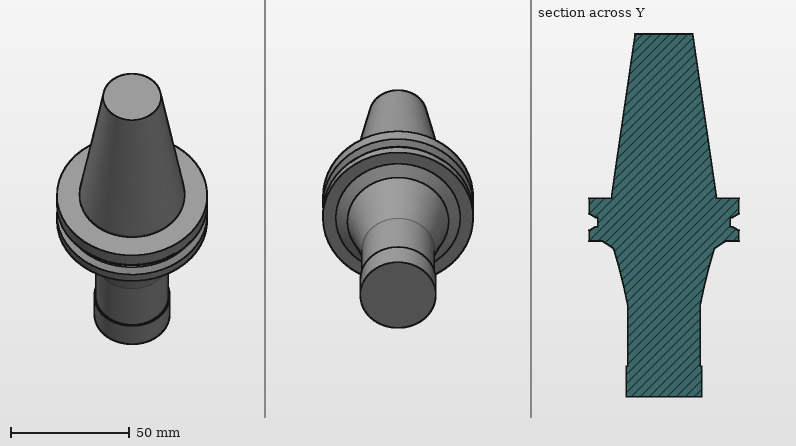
import cadquery as cq
import math


gauge_dia = 44.45
taper_length = 68.4
taper_ratio = 7 / 24
taper_tip_dia = gauge_dia - taper_length * taper_ratio
relief_length = 1.0

flange_dia = 63.55
flange_bottom_z = -19.1
groove_dia = 56.25
groove_center_z = -11.1
groove_mouth_width = 7.0
groove_floor_width = 3.85
groove_flank_angle = 60.0

nose_length = 85.0
shoulder_top_dia = 52.6
shoulder_bottom_dia = 42.8
shoulder_height = 3.2
neck_dia = 30.8
neck_top_height = 38.7
tip_dia = 32.0
tip_height = 13.0
flare_sagitta = 0.32

nose_end_z = -nose_length
shoulder_bottom_z = flange_bottom_z - shoulder_height
neck_top_z = nose_end_z + neck_top_height
tip_top_z = nose_end_z + tip_height


def make_holder_body():
    """Solid body without the gripper groove."""
    shoulder_r = shoulder_bottom_dia / 2
    neck_r = neck_dia / 2
    flare_dr = shoulder_r - neck_r
    flare_dz = shoulder_bottom_z - neck_top_z
    flare_chord = math.hypot(flare_dr, flare_dz)
    flare_middle = (
        (shoulder_r + neck_r) / 2 - flare_sagitta * flare_dz / flare_chord,
        (shoulder_bottom_z + neck_top_z) / 2 + flare_sagitta * flare_dr / flare_chord,
    )
    return (
        cq.Workplane("XZ")
        .moveTo(0, taper_length)
        .lineTo(taper_tip_dia / 2, taper_length)
        .lineTo(gauge_dia / 2, 0)
        .lineTo(gauge_dia / 2, -relief_length)
        .lineTo(flange_dia / 2, -relief_length)
        .lineTo(flange_dia / 2, flange_bottom_z)
        .lineTo(shoulder_top_dia / 2, flange_bottom_z)
        .lineTo(shoulder_r, shoulder_bottom_z)
        .threePointArc(flare_middle, (neck_r, neck_top_z))
        .lineTo(neck_r, tip_top_z)
        .lineTo(tip_dia / 2, tip_top_z)
        .lineTo(tip_dia / 2, nose_end_z)
        .lineTo(0, nose_end_z)
        .close()
        .revolve(360, (0, 0, 0), (0, 1, 0))
    )


def make_gripper_groove():
    """Ring of material to remove: sloped flanks, then a straight-walled floor."""
    rim_r = flange_dia / 2
    floor_r = groove_dia / 2
    half_mouth = groove_mouth_width / 2
    half_floor = groove_floor_width / 2
    flank_depth = (half_mouth - half_floor) * math.tan(math.radians(groove_flank_angle))
    flank_foot_r = rim_r - flank_depth
    return (
        cq.Workplane("XZ")
        .moveTo(rim_r, groove_center_z + half_mouth)
        .lineTo(flank_foot_r, groove_center_z + half_floor)
        .lineTo(floor_r, groove_center_z + half_floor)
        .lineTo(floor_r, groove_center_z - half_floor)
        .lineTo(flank_foot_r, groove_center_z - half_floor)
        .lineTo(rim_r, groove_center_z - half_mouth)
        .close()
        .revolve(360, (0, 0, 0), (0, 1, 0))
    )


result = make_holder_body().cut(make_gripper_groove())